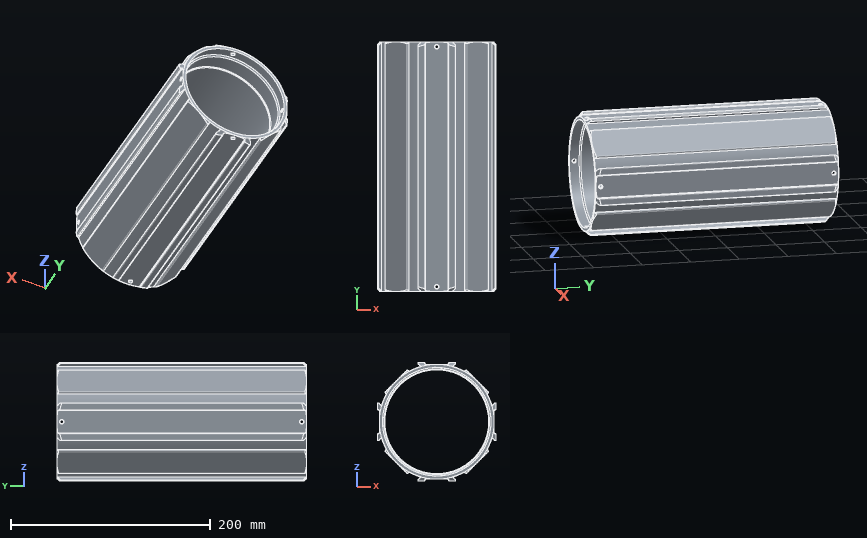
import cadquery as cq
import math

length = 250.0
tube_radius = 57.5
bore_radius = 52.0

mouth_radius = 54.3
mouth_depth = 10.0
shoulder_radius = 52.8
shoulder_depth = 28.0

rail_top = 59.5
rail_lip = 1.3
rail_inner = 12.0
rail_outer = 19.0
rail_edge_radius = 0.5

panel_half_width = 16.0
panel_edge_radius = 1.0

hole_diameter = 4.0
hole_end_distance = 5.0

side_count = 4
side_angle = 360.0 / side_count
half_length = length / 2
buried_height = (bore_radius + tube_radius) / 2 * math.cos(math.asin(rail_outer / tube_radius))


def extrude_along_tube(points, edge_radius):
    """Extrude a closed XZ outline over the tube length and round its topmost long edges."""
    bar = cq.Workplane("XZ").polyline(points).close().extrude(half_length, both=True)
    return bar.edges("|Y").edges(">Z").fillet(edge_radius)


def repeat_around(shape, first_angle):
    """Join copies of a shape, one per side, turned about the tube axis."""
    copies = None
    for index in range(side_count):
        turned = shape.rotate((0, 0, 0), (0, 1, 0), first_angle + index * side_angle)
        copies = turned if copies is None else copies.union(turned)
    return copies


def railed_side():
    """Flat between two rails whose flanks drop square, then lean 45 degrees towards the middle."""
    lip_bottom = rail_top - rail_lip
    flat_edge = rail_inner - (lip_bottom - tube_radius)
    right_half = [
        (flat_edge, tube_radius),
        (rail_inner, lip_bottom),
        (rail_inner, rail_top),
        (rail_outer, rail_top),
        (rail_outer, lip_bottom),
        (rail_outer - (lip_bottom - buried_height), buried_height),
    ]
    left_half = [(-x, z) for x, z in reversed(right_half)]
    return extrude_along_tube(right_half + left_half, rail_edge_radius)


def flat_panel():
    """Flat tangent to the tube, with square side walls and rounded long edges."""
    outline = [
        (-panel_half_width, buried_height),
        (-panel_half_width, tube_radius),
        (panel_half_width, tube_radius),
        (panel_half_width, buried_height),
    ]
    return extrude_along_tube(outline, panel_edge_radius)


def end_chamfer_envelope():
    """Solid of revolution whose 45 degree cones trim the rails and panels at both ends."""
    outer_radius = math.hypot(rail_top, rail_outer) + 1.0
    cone_end = half_length - (outer_radius - tube_radius)
    return (
        cq.Workplane("XY")
        .polyline([
            (0, -half_length),
            (tube_radius, -half_length),
            (outer_radius, -cone_end),
            (outer_radius, cone_end),
            (tube_radius, half_length),
            (0, half_length),
        ])
        .close()
        .revolve(360, (0, 0, 0), (0, 1, 0))
    )


def stepped_bore():
    """Bore with two wider steps at each end."""
    mouth_end = half_length - mouth_depth
    mouth_cone_end = mouth_end - (mouth_radius - shoulder_radius)
    shoulder_end = half_length - shoulder_depth
    shoulder_cone_end = shoulder_end - (shoulder_radius - bore_radius)
    far_half = [
        (bore_radius, shoulder_cone_end),
        (shoulder_radius, shoulder_end),
        (shoulder_radius, mouth_cone_end),
        (mouth_radius, mouth_end),
        (mouth_radius, half_length),
        (0, half_length),
    ]
    near_half = [(radius, -y) for radius, y in reversed(far_half)]
    return cq.Workplane("XY").polyline(near_half + far_half).close().revolve(360, (0, 0, 0), (0, 1, 0))


def end_holes():
    """One radial hole at each end of one side."""
    hole_y = half_length - hole_end_distance
    return (
        cq.Workplane("XY")
        .pushPoints([(0, -hole_y), (0, hole_y)])
        .circle(hole_diameter / 2)
        .extrude(rail_top)
    )


tube = cq.Workplane("XZ").circle(tube_radius).extrude(half_length, both=True)
body = tube.union(repeat_around(railed_side(), 0)).union(repeat_around(flat_panel(), side_angle / 2))
body = body.intersect(end_chamfer_envelope())
result = body.cut(stepped_bore()).cut(repeat_around(end_holes(), 0))